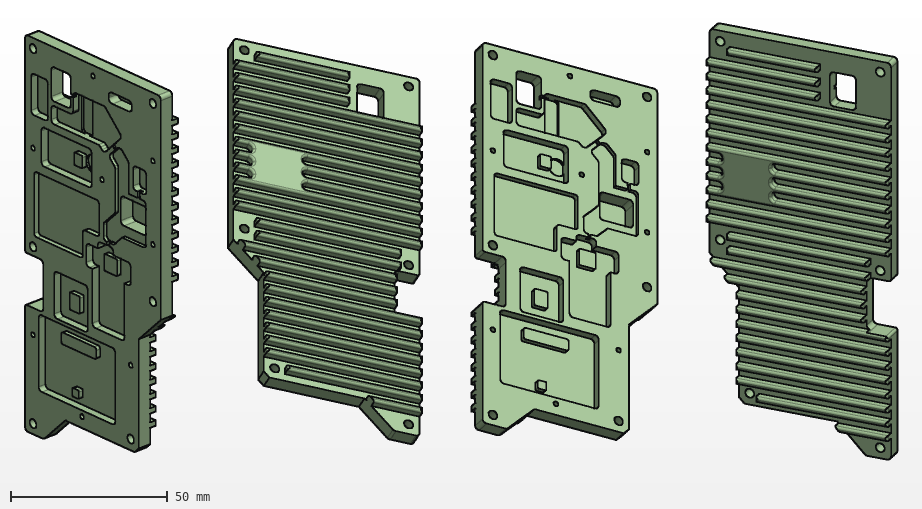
import cadquery as cq

width = 63.5
height = 139.7
plate_thickness = 5.0
total_depth = 8.0
corner_radius = 1.4

notch_depth = 8.5
notch_bottom = 44.5
notch_top = 62.9
notch_outer_radius = 0.8
notch_inner_radius = 1.5
lower_right = 53.2
right_slope_top = 60.9
step_height = 10.0
step_chamfer = 2.0
foot_width = 8.8

screw_radius = 1.5
screw_clearance = 3.4
left_screw_x = 3.8
right_screw_x = width - left_screw_x
top_screw_z = height - left_screw_x
middle_screw_z = 66.1
lower_screw_x = lower_right - left_screw_x
lower_screw_z = 14.1
pin_radius = 0.8
pin_depth = 3.5

fin_count = 26
fin_thickness = 2.0
top_fin_z = 133.7
bottom_fin_z = 8.7
fin_pitch = (top_fin_z - bottom_fin_z) / (fin_count - 1)
fin_tip_radius = 0.8
window_wall = 3.4

shallow_depth = 1.4
wedge_depth = 2.5
sunk_strip_depth = 3.4
stepped_depth = 2.0
pocket_depth = 3.0
slot_depth = 4.2
deep_pocket_depth = 6.7

pad_height = 1.7
pad_corner = 0.4
long_pad_corner = 0.8
round_recess_depth = 0.8
round_recess_radius = 3.1

channel_width = 1.0

pocket_corner = 1.4
tight_corner = 1.1
slot_corner = 1.7


def outline_prism(points, front, back):
    """Straight-sided prism with its (x, z) outline running from Y = front to Y = back."""
    plane = cq.Workplane("XZ", origin=(0, front, 0))
    return plane.polyline(points).close().extrude(front - back)


def rounded_prism(points, front, back, radius=pocket_corner):
    """Prism whose edges along Y are all rounded."""
    return outline_prism(points, front, back).edges("|Y").fillet(radius)


def box(left, right, bottom, top, front, back):
    """Sharp-cornered block given by its limits."""
    return outline_prism([(left, bottom), (right, bottom), (right, top), (left, top)], front, back)


def rounded_box(left, right, bottom, top, front, back, radius=pocket_corner):
    """Block given by its limits, rounded along its Y edges."""
    return box(left, right, bottom, top, front, back).edges("|Y").fillet(radius)


def pad(left, right, bottom, top, radius=pad_corner):
    """Raised pad standing on a pocket floor."""
    return rounded_box(left, right, bottom, top, pocket_depth - pad_height, pocket_depth, radius)


def cylinders(centres, radius, front, back):
    """Cylinders along Y at the (x, z) centres."""
    plane = cq.Workplane("XZ", origin=(0, front, 0))
    return plane.pushPoints(centres).circle(radius).extrude(front - back)


foot_top_x = foot_width + step_height
right_slope_bottom = right_slope_top - (width - lower_right)
plate_outline = [
    (0, 0),
    (foot_width, 0),
    (foot_top_x, step_height),
    (lower_right - step_chamfer, step_height),
    (lower_right, step_height + step_chamfer),
    (lower_right, right_slope_bottom),
    (width, right_slope_top),
    (width, height),
    (0, height),
    (0, notch_top),
    (notch_depth, notch_top),
    (notch_depth, notch_bottom),
    (0, notch_bottom),
]
rounded_corners = [
    (0, 0, corner_radius),
    (foot_width, 0, corner_radius),
    (width, height, corner_radius),
    (0, height, corner_radius),
    (0, notch_top, notch_outer_radius),
    (notch_depth, notch_top, notch_inner_radius),
    (notch_depth, notch_bottom, notch_inner_radius),
    (0, notch_bottom, notch_outer_radius),
]


def make_outline(back):
    """The plate outline, corners rounded, from the front face to Y = back."""
    body = outline_prism(plate_outline, 0, back)
    for x, z, radius in rounded_corners:
        corner = cq.selectors.BoxSelector((x - 0.1, 0, z - 0.1), (x + 0.1, back, z + 0.1))
        body = body.edges(corner).fillet(radius)
    return body


window_left = 12.3
window_right = 21.4
window_bottom = 120.7
window_top = 132.7

deep_left = 43.3
deep_right = 55.5
deep_bottom = 87.2
deep_top = 97.4
block_wall = 2.5
gap_reach = 2.1
gap_radius = 1.4
block_first_fin = 7
block_last_fin = 10


def fin_z(index):
    """Middle height of a fin, counted from the top."""
    return top_fin_z - index * fin_pitch


def fin_limits(z):
    """Ends of the fin at height z, at the plate edge or clear of screw heads and window."""
    half = fin_thickness / 2
    reach = screw_clearance + half
    left = 0
    right = width
    if notch_bottom < z - half and z + half < notch_top:
        left = notch_depth
    if z + half < right_slope_bottom:
        right = lower_right
    if abs(z - middle_screw_z) < reach:
        left = left_screw_x + screw_clearance
        right = right_screw_x - screw_clearance
    if abs(z - top_screw_z) < reach:
        right = right_screw_x - screw_clearance
    if abs(z - lower_screw_z) < reach:
        right = lower_screw_x - screw_clearance
    if z + half > window_bottom:
        left = window_right + window_wall
    return left, right


def make_fins():
    half = fin_thickness / 2
    block_left = deep_left - block_wall - gap_reach
    block_right = deep_right + block_wall + gap_reach
    block_bottom = fin_z(block_last_fin)
    block_top = fin_z(block_first_fin)
    fins = box(block_left, block_right, block_bottom, block_top, 0, total_depth)
    for index in range(fin_count):
        z = fin_z(index)
        left, right = fin_limits(z)
        fins = fins.union(box(left, right, z - half, z + half, 0, total_depth))
    for index in range(block_first_fin, block_last_fin):
        bottom = fin_z(index + 1) + half
        top = fin_z(index) - half
        for x in (block_left, block_right):
            left = x - gap_reach
            right = x + gap_reach
            fins = fins.cut(rounded_box(left, right, bottom, top, 0, total_depth, gap_radius))
    fins = fins.faces(">Y").edges().fillet(fin_tip_radius)
    return fins.intersect(make_outline(total_depth))


def cut_holes(body):
    screws = [
        (left_screw_x, top_screw_z),
        (right_screw_x, top_screw_z),
        (left_screw_x, middle_screw_z),
        (right_screw_x, middle_screw_z),
        (lower_screw_x, lower_screw_z),
        (left_screw_x, left_screw_x),
    ]
    pins = [
        (width / 2, top_screw_z),
        (right_screw_x, 115.7),
        (right_screw_x, 86.2),
        (left_screw_x, 100.9),
        (36.0, 100.9),
        (lower_screw_x, 40.1),
        (left_screw_x, 35.0),
        (26.7, lower_screw_z),
    ]
    body = body.cut(cylinders(screws, screw_radius, 0, total_depth))
    return body.cut(cylinders(pins, pin_radius, 0, pin_depth))


def cut_upper_pockets(body):
    window = rounded_box(window_left, window_right, window_bottom, window_top, 0, total_depth)
    slot = rounded_box(39.1, 50.0, 129.2, 133.1, 0, slot_depth, slot_corner)
    side_pocket = rounded_box(3.0, 10.8, 112.6, 127.1, 0, pocket_depth)
    wedge = rounded_prism(
        [
            (12.3, 112.6),
            (34.8, 112.6),
            (36.9, 110.5),
            (45.4, 119.0),
            (37.3, 127.1),
            (22.5, 127.1),
            (22.5, 119.0),
            (12.3, 119.0),
        ],
        0,
        wedge_depth,
    )
    strip = rounded_box(23.9, 29.0, 112.6, 127.1, 0, sunk_strip_depth)
    for pocket in (window, slot, side_pocket, wedge, strip):
        body = body.cut(pocket)
    return body


def cut_amplifier_pocket(body):
    pocket_right = 31.2
    middle_z = 103.0
    pad_half_height = 2.2
    body = body.cut(rounded_box(7.7, pocket_right, 96.1, 109.8, 0, pocket_depth))
    body = body.union(pad(21.7, 25.5, middle_z - pad_half_height, middle_z + pad_half_height))
    recess_depth = pocket_depth + round_recess_depth
    recess = cylinders([(28.6, middle_z)], round_recess_radius, 0, recess_depth)
    recess = recess.intersect(box(0, pocket_right, 0, height, 0, total_depth))
    return body.cut(recess)


def cut_stepped_pocket(body):
    outline = [
        (4.3, 70.0),
        (27.0, 70.0),
        (27.0, 80.2),
        (34.6, 80.2),
        (34.6, 92.9),
        (4.3, 92.9),
    ]
    return body.cut(rounded_prism(outline, 0, stepped_depth, tight_corner))


def cut_right_pockets(body):
    shallow = rounded_prism(
        [
            (36.7, 79.8),
            (41.5, 79.8),
            (48.5, 86.8),
            (48.5, 111.3),
            (45.1, 114.7),
            (43.5, 114.7),
            (39.1, 110.4),
            (42.2, 107.3),
            (42.2, 91.2),
            (36.7, 85.8),
        ],
        0,
        shallow_depth,
    )
    shallow_side = rounded_box(43.3, 56.6, 83.7, 100.2, 0, shallow_depth)
    deep = rounded_box(deep_left, deep_right, deep_bottom, deep_top, 0, deep_pocket_depth)
    small = rounded_box(50.6, 56.7, 102.4, 110.9, 0, pocket_depth)
    for pocket in (shallow, shallow_side, deep, small):
        body = body.cut(pocket)
    return body


def cut_tee_pocket(body):
    neck = rounded_box(34.1, 41.4, 69.8, 78.5, 0, pocket_depth)
    arms = rounded_box(28.6, 49.5, 67.9, 76.0, 0, pocket_depth)
    stem = rounded_box(31.6, 46.5, 47.5, 72.6, 0, pocket_depth)
    body = body.cut(neck).cut(arms).cut(stem)
    return body.union(pad(35.8, 41.8, 68.3, 74.3))


def cut_lower_pockets(body):
    body = body.cut(rounded_box(13.7, 29.3, 44.5, 61.0, 0, pocket_depth))
    body = body.cut(rounded_box(6.4, 42.2, 16.3, 43.3, 0, pocket_depth))
    body = body.union(pad(19.5, 24.3, 49.0, 55.2))
    body = body.union(pad(20.8, 23.9, 18.9, 22.0))
    return body.union(pad(15.6, 32.0, 35.6, 39.8, long_pad_corner))


def cut_channels(body):
    half = channel_width / 2
    window_channel_z = 125.6
    upper_x = 53.2
    lower_x = 38.8
    body = body.cut(
        box(21.0, 22.9, window_channel_z - half, window_channel_z + half, 0, shallow_depth)
    )
    body = body.cut(box(upper_x - half, upper_x + half, 99.7, 102.8, 0, shallow_depth))
    body = body.cut(box(lower_x - half, lower_x + half, 78.2, 80.2, 0, shallow_depth))
    slanted = box(-1.4, 1.4, -half, half, 0, shallow_depth).rotate((0, 0, 0), (0, 1, 0), 45)
    return body.cut(slanted.translate((42.2, 0, 114.0)))


result = make_outline(plate_thickness).union(make_fins())
for add_feature in (
    cut_upper_pockets,
    cut_amplifier_pocket,
    cut_stepped_pocket,
    cut_right_pockets,
    cut_tee_pocket,
    cut_lower_pockets,
    cut_channels,
    cut_holes,
):
    result = add_feature(result)